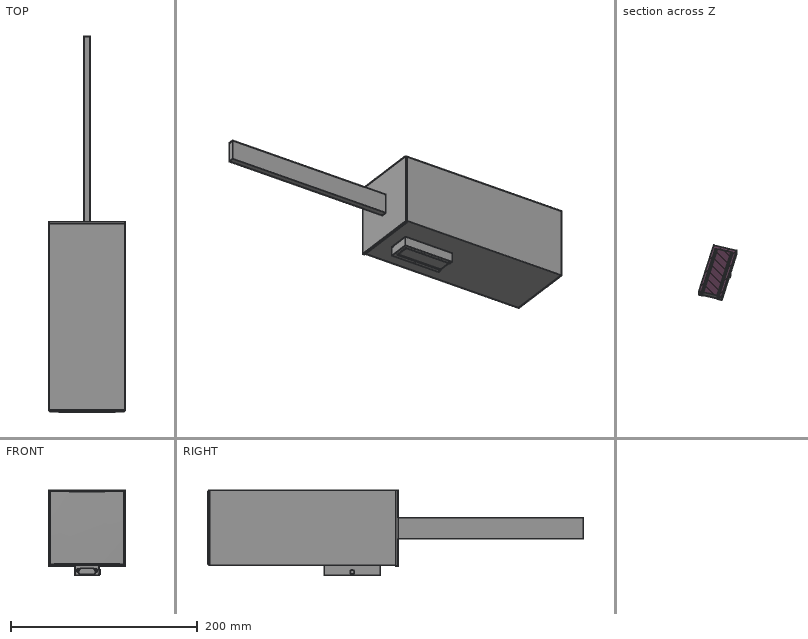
import cadquery as cq
import math

total_length = 402.0
case_width = 81.5
case_top = case_width
case_mid_z = case_top / 2

housing_bottom = 1.2
housing_front = 2.5
plate_front = 201.5
plate_thickness = 2.5
plate_back = plate_front + plate_thickness
cover_crown = 1.0
cover_chamfer = 2.0

arm_width = 7.0
arm_height = 23.0

mount_width = 25.7
mount_bottom = -9.5
mount_front = 124.5
mount_length = 60.5
mount_end_wall = 4.0
groove_length = mount_length - mount_end_wall

rail_top_z = -2.0
rail_wide_z = -4.5
rail_bottom_z = -8.5
rail_top_half = 7.0
rail_wide_half = 9.0
rail_bottom_half = 8.5
relief_diameter = 4.0

screw_diameter = 4.5
screw_z = -6.0
screw_projection = 1.2
screw_depth = 2.5


def box(width, y_start, y_end, z_bottom, z_top):
    """Block centred on X between the given Y and Z limits."""
    return cq.Workplane("XY").box(
        width, y_end - y_start, z_top - z_bottom, centered=(True, False, False)
    ).translate((0, y_start, z_bottom))


def xz_plane(y):
    """Sketch plane facing -Y; a negative extrusion runs toward +Y."""
    return cq.Workplane("XZ", origin=(0, y, 0))


def make_housing():
    return box(case_width, housing_front, plate_front, housing_bottom, case_top)


def make_front_cover():
    """Thin cover with chamfered front edges and a spherical crown that falls to its corners."""
    blank = box(case_width, 0, housing_front, housing_bottom, case_top)
    blank = blank.faces("<Y").edges().chamfer(cover_chamfer)
    corner_reach = case_width / math.sqrt(2)
    crown_radius = (corner_reach**2 + cover_crown**2) / (2 * cover_crown)
    crown = cq.Workplane("XY").sphere(crown_radius).translate((0, crown_radius, case_mid_z))
    return blank.intersect(crown)


def make_back_plate():
    return box(case_width, plate_front, plate_back, 0, case_top)


def make_arm():
    half_height = arm_height / 2
    return box(arm_width, plate_back, total_length, case_mid_z - half_height, case_mid_z + half_height)


def make_rail():
    profile = [
        (-rail_top_half, rail_top_z),
        (rail_top_half, rail_top_z),
        (rail_wide_half, rail_wide_z),
        (rail_bottom_half, rail_bottom_z),
        (-rail_bottom_half, rail_bottom_z),
        (-rail_wide_half, rail_wide_z),
    ]
    return xz_plane(mount_front).polyline(profile).close().extrude(-groove_length)


def make_screw():
    inner_x = mount_width / 2 - screw_depth
    screw_y = mount_front + mount_length / 2
    return (
        cq.Workplane("YZ", origin=(inner_x, screw_y, screw_z))
        .circle(screw_diameter / 2)
        .extrude(screw_depth + screw_projection)
    )


def make_mount(rail, screw):
    """Mount block with a downward-open dovetail groove, closed at its rear end."""
    block = box(mount_width, mount_front, mount_front + mount_length, mount_bottom, housing_bottom)
    mouth = box(2 * rail_bottom_half, mount_front, mount_front + groove_length, mount_bottom, rail_bottom_z)
    reliefs = (
        xz_plane(mount_front)
        .pushPoints([(-rail_wide_half, rail_wide_z), (rail_wide_half, rail_wide_z)])
        .circle(relief_diameter / 2)
        .extrude(-groove_length)
    )
    return block.cut(mouth).cut(reliefs).cut(rail).cut(screw)


housing = make_housing()
front_cover = make_front_cover()
back_plate = make_back_plate()
arm = make_arm()
rail = make_rail()
screw = make_screw()
mount = make_mount(rail, screw)

bodies = [housing, front_cover, back_plate, arm, mount, rail, screw]
result = cq.Compound.makeCompound([body.solids().val() for body in bodies])